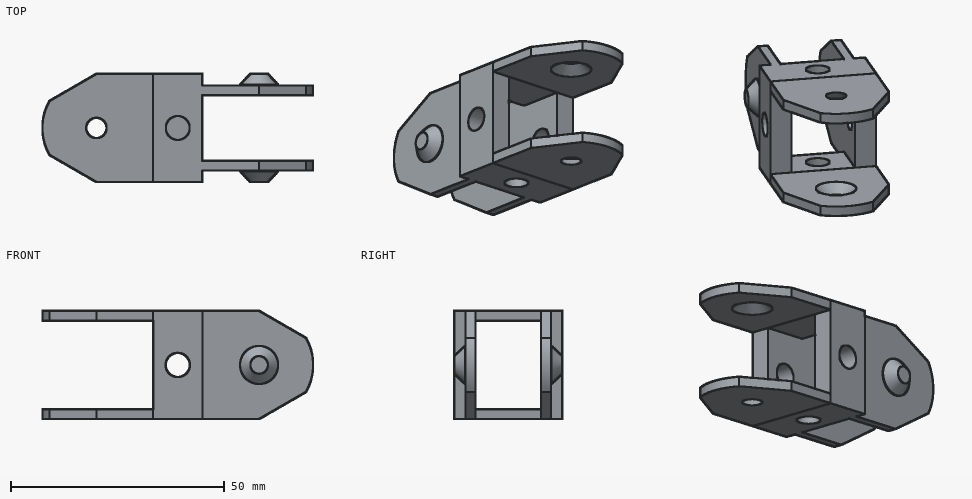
import cadquery as cq
import math

width = 25.4
lug_thickness = 2.38
side_clearance = 0.16
lug_clearance = 0.595
tip_radius = width / 2
tip_half_angle = math.radians(30)
pivot_offset = 19.05
block_half_length = pivot_offset - tip_radius - lug_clearance

cone_height = 2.54
cone_base_diameter = 8.93
cone_tip_diameter = 4.13
socket_clearance = 0.57
socket_mouth_diameter = cone_base_diameter + socket_clearance
socket_throat_diameter = cone_tip_diameter + socket_clearance

cone_lug_inner_face = width / 2 - cone_height - side_clearance - lug_thickness
opening_width = 2 * cone_lug_inner_face
opening_height = width - 2 * lug_thickness
cross_hole_diameter = 5.61
top_hole_depth = 2.1


def lug(direction):
    """Flat lug lying on Z = 0, from the block face out to its rounded tip along +X or -X."""
    root_x = direction * block_half_length
    pivot_x = direction * pivot_offset
    corner_x = pivot_x + direction * tip_radius * math.cos(tip_half_angle)
    corner_y = tip_radius * math.sin(tip_half_angle)
    tip_x = pivot_x + direction * tip_radius
    return (
        cq.Workplane("XY")
        .moveTo(root_x, -width / 2)
        .lineTo(pivot_x, -width / 2)
        .lineTo(corner_x, -corner_y)
        .threePointArc((tip_x, 0), (corner_x, corner_y))
        .lineTo(pivot_x, width / 2)
        .lineTo(root_x, width / 2)
        .close()
        .extrude(lug_thickness)
    )


def cone(pivot_x, base_diameter, tip_diameter, height):
    """Truncated cone standing on Z = 0."""
    pivot = cq.Vector(pivot_x, 0, 0)
    return cq.Workplane("XY").add(cq.Solid.makeCone(base_diameter / 2, tip_diameter / 2, height, pnt=pivot))


def cone_lug():
    """Inner lug on the +Y side, with a short round shoulder and a pivot cone on its outer face."""
    shoulder_top = lug_thickness + side_clearance
    shoulder = cq.Workplane("XY").center(pivot_offset, 0).circle(cone_base_diameter / 2).extrude(shoulder_top)
    pivot_cone = cone(pivot_offset, cone_base_diameter, cone_tip_diameter, cone_height)
    flat = lug(1).union(shoulder).union(pivot_cone.translate((0, 0, shoulder_top)))
    return flat.rotate((0, 0, 0), (1, 0, 0), -90).translate((0, cone_lug_inner_face, 0))


def block():
    """Square block, open along X, with two integral cone lugs."""
    body = cq.Workplane("XY").box(2 * block_half_length, width, width)
    body = body.cut(cq.Workplane("XY").box(2 * block_half_length, opening_width, opening_height))

    body = body.cut(cq.Workplane("XZ").circle(cross_hole_diameter / 2).extrude(width / 2, both=True))

    body = body.cut(cq.Workplane("XY").circle(cross_hole_diameter / 2).extrude(-width / 2))
    top_hole = cq.Workplane("XY", origin=(0, 0, width / 2)).circle(cross_hole_diameter / 2)
    body = body.cut(top_hole.extrude(-top_hole_depth))

    back_lug = cone_lug()
    return body.union(back_lug).union(back_lug.mirror("XZ"))


def socket_lugs():
    """Two outer lugs, flush with the top and bottom of the block, their sockets facing each other."""
    socket = cone(-pivot_offset, socket_mouth_diameter, socket_throat_diameter, lug_thickness)
    top_lug = lug(-1).cut(socket).translate((0, 0, opening_height / 2))
    lugs = []
    for turn in (0, 180):
        lugs.append(top_lug.rotate((0, 0, 0), (1, 0, 0), turn).val())
    return lugs


link_block = block()

result = cq.Compound.makeCompound([link_block.val(), *socket_lugs()])